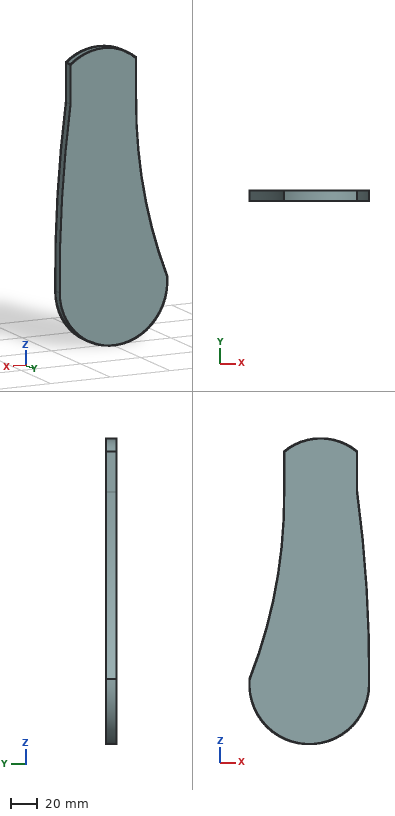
import cadquery as cq

thickness = 8.0
lower_half_width = 45.0
lower_depth = 45.0
left_junction_z = 4.0
left_flank_radius = 375.0
right_flank_radius = 1000.0
neck_left_x = -19.0
neck_width = 55.0
neck_start_z = 144.5
neck_end_z = 175.0
tip_z = 185.0

neck_right_x = neck_left_x + neck_width
tip_x = neck_left_x + neck_width / 2


def blade_outline():
    """Closed outline in the XZ plane, clockwise from the right of the lower end."""
    lower_right = (lower_half_width, 0)
    lower_bottom = (0, -lower_depth)
    lower_left = (-lower_half_width, left_junction_z)
    neck_left = (neck_left_x, neck_start_z)
    neck_right = (neck_right_x, neck_start_z)
    return (
        cq.Workplane("XZ")
        .moveTo(*lower_right)
        .threePointArc(lower_bottom, lower_left)
        .radiusArc(neck_left, -left_flank_radius)
        .lineTo(neck_left_x, neck_end_z)
        .threePointArc((tip_x, tip_z), (neck_right_x, neck_end_z))
        .lineTo(*neck_right)
        .radiusArc(lower_right, right_flank_radius)
        .close()
    )


result = blade_outline().extrude(thickness / 2, both=True)